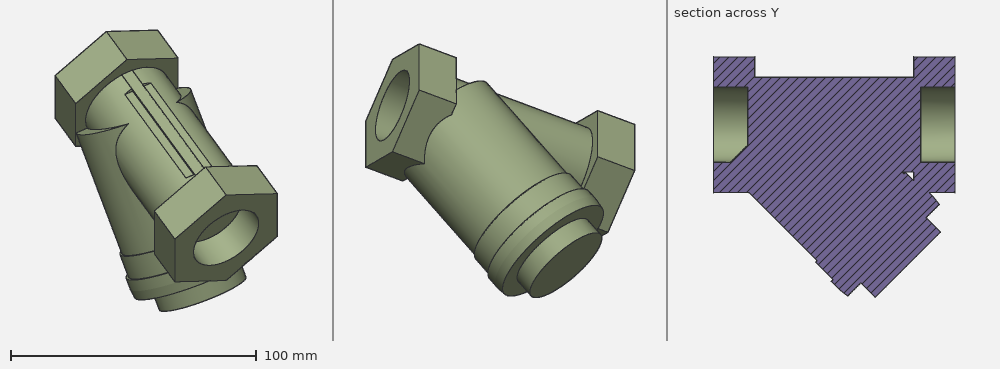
import cadquery as cq
import math

overall_length = 98.5
hex_across_flats = 48.1
hex_length = 16.9
pipe_radius = 19.4
bore_radius = 15.3
bore_depth = 14.0

flat_length = 50.2
flat_offset = 1.8
flat_height = 18.4
flat_end_slope = 40.0
rib_width = 4.9
rib_height = pipe_radius

branch_angle = 45.0
branch_start_x = -27.0
branch_radius = 25.0
collar_radius = 25.9
cap_radius = 27.0
stub_radius = 18.9
collar_start = 53.3
cap_start = 63.3
cap_taper_start = 68.3
cap_rim_radius = 26.5
cap_end = 72.3
stub_end = 80.6

half_length = overall_length / 2
hex_corner_diameter = hex_across_flats / math.cos(math.radians(30))


def hex_end(side):
    """Hexagonal end with a blind socket; side is -1 or +1 along X."""
    outer_face = cq.Plane(origin=(side * half_length, 0, 0), xDir=(0, 0, 1), normal=(-side, 0, 0))
    hexagon = cq.Workplane(outer_face).polygon(6, hex_corner_diameter).extrude(hex_length)
    socket = cq.Workplane(outer_face).circle(bore_radius).extrude(bore_depth)
    return hexagon.cut(socket)


def pipe():
    """Pipe between the hexagonal ends, with the flat and its rib on top."""
    pipe_length = overall_length - 2 * hex_length
    body = cq.Workplane("YZ").circle(pipe_radius).extrude(pipe_length / 2, both=True)
    cut_depth = pipe_radius - flat_height
    flat_cut = (
        cq.Workplane("XY", origin=(flat_offset, 0, flat_height))
        .rect(flat_length, 2 * pipe_radius)
        .extrude(cut_depth, taper=-flat_end_slope)
    )
    rib = cq.Workplane("XY").box(
        pipe_length, rib_width, rib_height, centered=(True, True, False)
    )
    return body.cut(flat_cut).union(rib)


def branch():
    """Solid stepped arm, turned about its sloping axis."""
    tilt = math.radians(branch_angle)
    axis_plane = cq.Plane(
        origin=(branch_start_x, 0, 0),
        xDir=(0, 1, 0),
        normal=(math.cos(tilt), 0, -math.sin(tilt)),
    )
    profile = [
        (0, 0),
        (branch_radius, 0),
        (branch_radius, collar_start),
        (collar_radius, collar_start),
        (collar_radius, cap_start),
        (cap_radius, cap_start),
        (cap_radius, cap_taper_start),
        (cap_rim_radius, cap_end),
        (stub_radius, cap_end),
        (stub_radius, stub_end),
        (0, stub_end),
    ]
    arm = cq.Workplane("XZ").polyline(profile).close().revolve(360, (0, 0), (0, 1))
    return cq.Workplane(arm.val().moved(cq.Location(axis_plane)))


result = pipe().union(hex_end(-1)).union(hex_end(1)).union(branch())